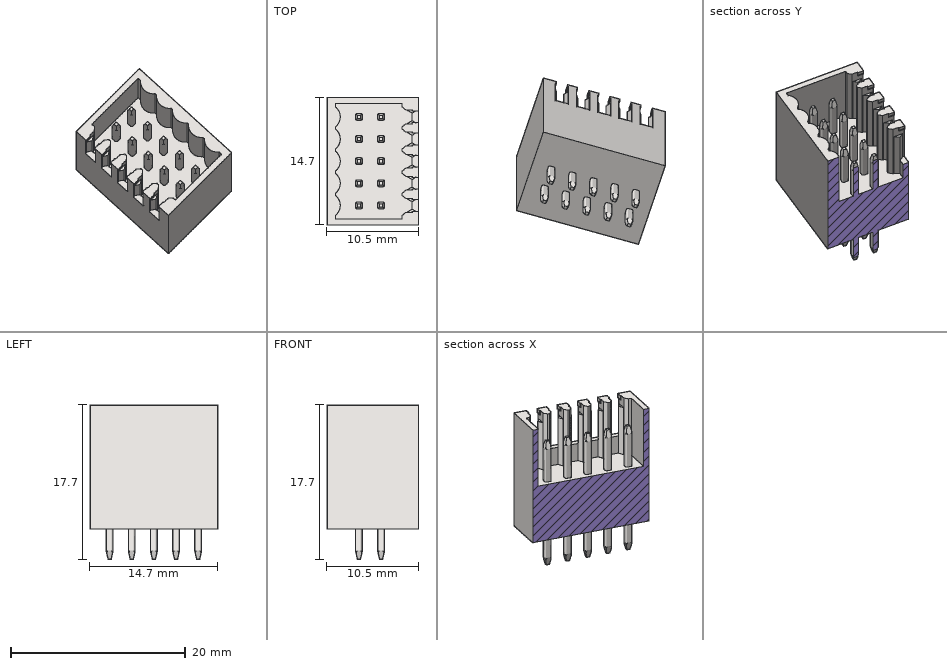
import cadquery as cq

HOUSING_X = 10.5
HOUSING_Y = 14.65
HOUSING_Z = 14.23
OVERALL_Z = 17.7
FLOOR_DEPTH = 7.17
FLOOR_Z = HOUSING_Z - FLOOR_DEPTH
END_WALL = 0.7
CLOSED_WALL = 0.95
SLOTTED_WALL = 1.9
SLOTTED_WALL_X = HOUSING_X - SLOTTED_WALL

CONTACTS_PER_ROW = 5
ROW_LENGTH = 10.16
PITCH = ROW_LENGTH / (CONTACTS_PER_ROW - 1)
FIRST_ROW_X = 3.65
ROW_X = [FIRST_ROW_X, FIRST_ROW_X + PITCH]
MIDDLE_CONTACT = (CONTACTS_PER_ROW - 1) / 2
CONTACT_Y = [(i - MIDDLE_CONTACT) * PITCH for i in range(CONTACTS_PER_ROW)]
PIN_WIDTH = 0.8
PIN_EDGE_RADIUS = 0.21
PIN_TIP_WIDTH = 0.37
PIN_TIP_LENGTH = 0.95
PIN_BOTTOM_Z = HOUSING_Z - OVERALL_Z
PIN_TOP_DEPTH = 2.12
PIN_TOP_Z = HOUSING_Z - PIN_TOP_DEPTH

BUMP_WIDTH = 2.27
BUMP_HEIGHT = 0.55

SLOT_WIDTH = 1.58
SLOT_MOUTH_WIDTH = 2.3
SLOT_LEAD_IN = 0.42
SLOT_SILL_DEPTH = 5.01
STEP_X = 9.75
TAB_HEIGHT = 0.51
SLOT_WIDTH_AT_TABS = 1.35

RIB_DROP = 1.25
RIB_START_X = 9.15
RIB_END_X = 10.28
RIB_GAP = 0.85


def block(x_min, x_max, y_middle, width, z_min, z_max):
    """Box given by its X range, its middle and width in Y, and its Z range."""
    size_x = x_max - x_min
    box = cq.Workplane("XY").box(size_x, width, z_max - z_min, centered=(False, True, False))
    return box.translate((x_min, y_middle, z_min))


def cavity():
    """Open-topped pocket with the rounded bumps left standing on the closed wall."""
    pocket = block(CLOSED_WALL, SLOTTED_WALL_X, 0, HOUSING_Y - 2 * END_WALL, FLOOR_Z, HOUSING_Z)
    for y in CONTACT_Y:
        bump = (
            cq.Workplane("XY", origin=(CLOSED_WALL, y, FLOOR_Z))
            .moveTo(0, -BUMP_WIDTH / 2)
            .threePointArc((BUMP_HEIGHT, 0), (0, BUMP_WIDTH / 2))
            .close()
            .extrude(FLOOR_DEPTH)
        )
        pocket = pocket.cut(bump)
    return pocket


def rib(y, side):
    """Triangular rib on one side (+1 or -1) of the slot centred on y."""
    wall_y = y + side * SLOT_WIDTH / 2
    crest_y = y + side * RIB_GAP / 2
    return (
        cq.Workplane("XY", origin=(0, 0, FLOOR_Z))
        .polyline([(RIB_START_X, wall_y), (STEP_X, crest_y), (RIB_END_X, wall_y)])
        .close()
        .extrude(FLOOR_DEPTH - RIB_DROP)
    )


def slot(y):
    """Wall slot with its lead-in, leaving the sill, the tabs and the ribs."""
    lead_in = (
        cq.Workplane("XY", origin=(SLOTTED_WALL_X, y, FLOOR_Z))
        .polyline([
            (0, -SLOT_MOUTH_WIDTH / 2),
            (SLOT_LEAD_IN, -SLOT_WIDTH / 2),
            (SLOT_LEAD_IN, SLOT_WIDTH / 2),
            (0, SLOT_MOUTH_WIDTH / 2),
        ])
        .close()
        .extrude(FLOOR_DEPTH)
    )
    tab_z = HOUSING_Z - TAB_HEIGHT
    sill_z = HOUSING_Z - SLOT_SILL_DEPTH
    inner = block(SLOTTED_WALL_X + SLOT_LEAD_IN, STEP_X, y, SLOT_WIDTH, FLOOR_Z, HOUSING_Z)
    outer = block(STEP_X, HOUSING_X, y, SLOT_WIDTH, sill_z, tab_z)
    between_tabs = block(STEP_X, HOUSING_X, y, SLOT_WIDTH_AT_TABS, tab_z, HOUSING_Z)
    opening = lead_in.union(inner).union(outer).union(between_tabs)
    return opening.cut(rib(y, 1)).cut(rib(y, -1))


def pin(x, y):
    """Square pin with rounded long edges and a blunt pyramid at both ends."""
    bar = block(-PIN_WIDTH / 2, PIN_WIDTH / 2, 0, PIN_WIDTH, PIN_BOTTOM_Z, PIN_TOP_Z)
    bar = bar.edges("|Z").fillet(PIN_EDGE_RADIUS)
    tip_inset = (PIN_WIDTH - PIN_TIP_WIDTH) / 2
    pointed = (
        block(-PIN_WIDTH / 2, PIN_WIDTH / 2, 0, PIN_WIDTH, PIN_BOTTOM_Z, PIN_TOP_Z)
        .faces("<Z or >Z")
        .chamfer(PIN_TIP_LENGTH, tip_inset)
    )
    return bar.intersect(pointed).translate((x, y, 0))


result = block(0, HOUSING_X, 0, HOUSING_Y, 0, HOUSING_Z).cut(cavity())
for contact_y in CONTACT_Y:
    result = result.cut(slot(contact_y))
    for row_x in ROW_X:
        result = result.union(pin(row_x, contact_y))